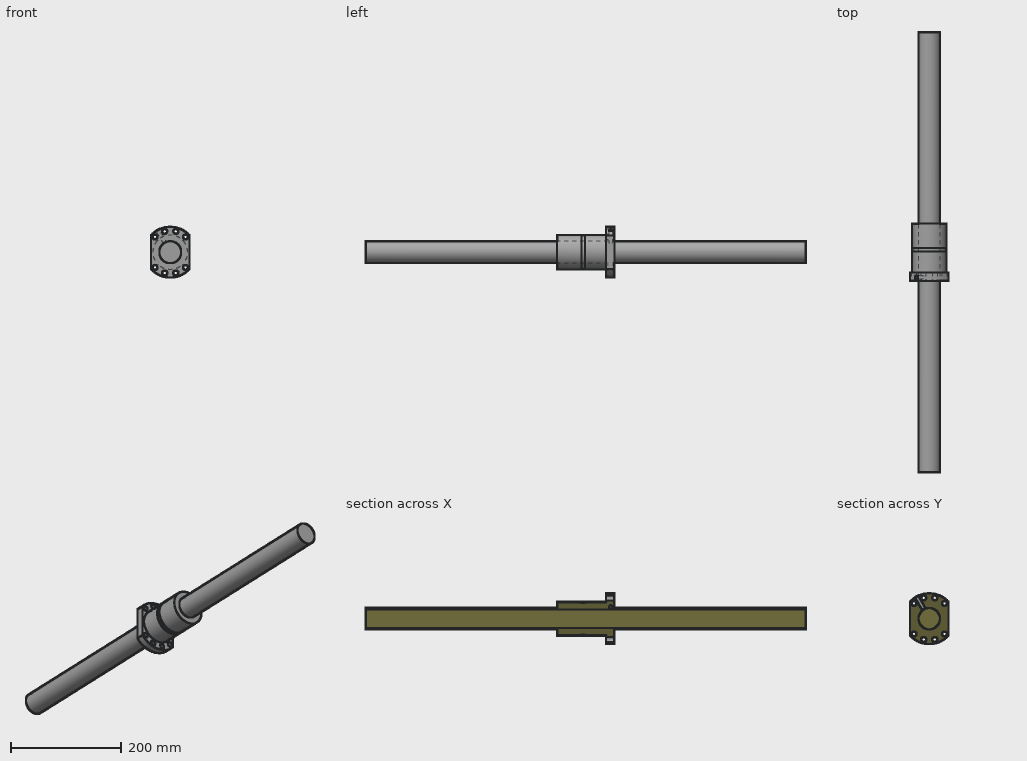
import cadquery as cq
import math

SHAFT_LENGTH = 800.0
SHAFT_DIAMETER = 40.0

NUT_LENGTH = 104.0
NUT_DIAMETER = 63.0
NUT_FRONT = -NUT_LENGTH / 2

FLANGE_DIAMETER = 93.0
FLANGE_WIDTH = 70.0
FLANGE_THICKNESS = 15.0

GROOVE_DIAMETER = 62.0
GROOVE_WIDTH = 6.0
GROOVE_START = 2.0

BOLT_CIRCLE_DIAMETER = 78.0
BOLT_HOLE_DIAMETER = 9.0
BOLT_ANGLES = (45, 75, 105, 135, 225, 255, 285, 315)

OIL_HOLE_OFFSET = 6.0
OIL_HOLE_DIAMETER = 6.5
OIL_HOLE_ANGLE = 120


def cylinder_along_y(diameter, start, length, x=0, z=0):
    """Cylinder parallel to Y that extends from start toward +Y."""
    return cq.Workplane(
        cq.Solid.makeCylinder(diameter / 2, length, cq.Vector(x, start, z), cq.Vector(0, 1, 0))
    )


def make_shaft():
    return cylinder_along_y(SHAFT_DIAMETER, -SHAFT_LENGTH / 2, SHAFT_LENGTH)


def make_flange():
    """Round flange trimmed by two flats on the X sides."""
    disc = cylinder_along_y(FLANGE_DIAMETER, NUT_FRONT, FLANGE_THICKNESS)
    trim = cq.Workplane().box(FLANGE_WIDTH, NUT_LENGTH, FLANGE_DIAMETER)
    return disc.intersect(trim)


def make_groove():
    """Ring that cuts the groove around the nut barrel."""
    ring = cylinder_along_y(NUT_DIAMETER, GROOVE_START, GROOVE_WIDTH)
    return ring.cut(cylinder_along_y(GROOVE_DIAMETER, GROOVE_START, GROOVE_WIDTH))


def make_oil_hole():
    """Radial bore from the flange rim to the shaft bore."""
    angle = math.radians(OIL_HOLE_ANGLE)
    center = cq.Vector(0, NUT_FRONT + OIL_HOLE_OFFSET, 0)
    outward = cq.Vector(math.cos(angle), 0, math.sin(angle))
    bore = cq.Solid.makeCylinder(OIL_HOLE_DIAMETER / 2, FLANGE_DIAMETER / 2, center, outward)
    return cq.Workplane(bore)


def make_nut():
    nut = cylinder_along_y(NUT_DIAMETER, NUT_FRONT, NUT_LENGTH).union(make_flange())
    nut = nut.cut(make_groove())
    nut = nut.cut(cylinder_along_y(SHAFT_DIAMETER, NUT_FRONT, NUT_LENGTH))
    for degrees in BOLT_ANGLES:
        angle = math.radians(degrees)
        x = BOLT_CIRCLE_DIAMETER / 2 * math.cos(angle)
        z = BOLT_CIRCLE_DIAMETER / 2 * math.sin(angle)
        nut = nut.cut(cylinder_along_y(BOLT_HOLE_DIAMETER, NUT_FRONT, FLANGE_THICKNESS, x, z))
    return nut.cut(make_oil_hole())


shaft = make_shaft()
nut = make_nut()

result = cq.Compound.makeCompound([shaft.val(), nut.val()])